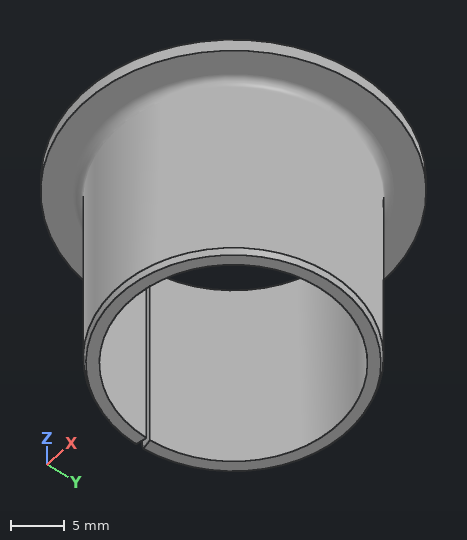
import cadquery as cq
import math

flange_diameter = 35.98
height = 25.0
bore_diameter = 25.0
wall = 1.5
mouth_radius = 2.5
neck_radius = mouth_radius - wall
chamfer_width = 0.25
chamfer_height = 0.72

slit_half_angle = 10.0
slit_inner_width = 0.43
slit_margin = 1.8

flange_radius = flange_diameter / 2
bore_radius = bore_diameter / 2
body_radius = bore_radius + wall
round_center_x = bore_radius + mouth_radius
round_center_z = height - mouth_radius
diagonal = math.sqrt(0.5)


def revolved_bushing():
    """Half section of wall and flange, turned about Z."""
    mouth_middle = (round_center_x - mouth_radius * diagonal, round_center_z + mouth_radius * diagonal)
    neck_middle = (round_center_x - neck_radius * diagonal, round_center_z + neck_radius * diagonal)
    section = (
        cq.Workplane("XZ")
        .moveTo(bore_radius, 0)
        .lineTo(body_radius - chamfer_width, 0)
        .lineTo(body_radius, chamfer_height)
        .lineTo(body_radius, round_center_z)
        .threePointArc(neck_middle, (round_center_x, height - wall))
        .lineTo(flange_radius, height - wall)
        .lineTo(flange_radius, height)
        .lineTo(round_center_x, height)
        .threePointArc(mouth_middle, (bore_radius, round_center_z))
        .close()
    )
    return section.revolve(360, (0, 0, 0), (0, 1, 0))


def slit_wedge():
    """Triangular prism removed to split the ring."""
    slope = math.tan(math.radians(slit_half_angle))
    apex_x = -(bore_radius - slit_inner_width / 2 / slope)
    outer_x = -(flange_radius + slit_margin)
    half_width = (apex_x - outer_x) * slope
    outline = [(apex_x, 0), (outer_x, half_width), (outer_x, -half_width)]
    return cq.Workplane("XY").polyline(outline).close().extrude(height)


result = revolved_bushing().cut(slit_wedge())